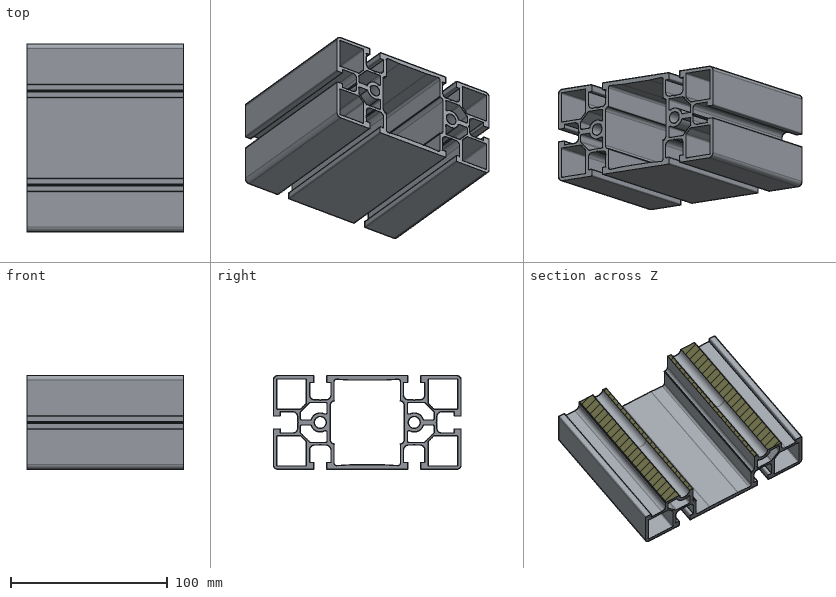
import cadquery as cq
import math

length = 100.0
width = 120.0
height = 60.0
cell_half = height / 2
cell_offset = width / 2 - cell_half
outer_radius = 3.0
small_radius = 0.5

slot_half_opening = 4.1
slot_half_chamber = 6.7
lip_depth = 4.5
slot_depth = 15.5
slot_radius = 3.0
lip_radius = 0.5
groove_half_width = 0.7
groove_depth = 0.4

outer_wall = 2.3
slot_side_wall = 2.3
slot_floor_web = 1.8
bevel_sum = 21.1
chamber_radius = 0.6
bevel_radius = 1.0

bore_radius = 3.7
collar_radius = 6.1
pocket_far = 12.7
pocket_near = 4.2
pocket_bevel_sum = 19.3
spoke_half = 1.7
shelf_height = 5.4
pocket_radius = 0.7

core_wall = 2.3
cavity_step_height = 13.7
cavity_step_radius = 2.5
cavity_corner_radius = 1.5
upper_cavity_wall = 2.2
cavity_edge_height = 27.6
cavity_middle_height = 27.0
cavity_flat_half = 10.8


def point_toward(start, end, distance):
    """Point at the given distance from start on the way to end."""
    share = distance / math.dist(start, end)
    return (start[0] + share * (end[0] - start[0]), start[1] + share * (end[1] - start[1]))


def prism(corners):
    """Extrude a closed outline along X; each corner is (y, z, rounding radius)."""
    arcs = []
    for index, (y, z, radius) in enumerate(corners):
        corner = (y, z)
        if radius == 0:
            arcs.append((corner, corner, corner))
            continue
        before = corners[index - 1][:2]
        after = corners[(index + 1) % len(corners)][:2]
        toward_before = point_toward(corner, before, 1.2)
        toward_after = point_toward(corner, after, 1.2)
        half_angle = math.asin(math.dist(toward_before, toward_after) / 2.4)
        setback = radius / math.tan(half_angle)
        bisector = ((toward_before[0] + toward_after[0]) / 2, (toward_before[1] + toward_after[1]) / 2)
        middle = point_toward(corner, bisector, radius / math.sin(half_angle) - radius)
        arcs.append((point_toward(corner, before, setback), middle, point_toward(corner, after, setback)))

    outline = cq.Workplane("YZ").moveTo(*arcs[0][2])
    for start, middle, end in arcs[1:] + arcs[:1]:
        outline = outline.lineTo(*start)
        if start != end:
            outline = outline.threePointArc(middle, end)
    return outline.close().extrude(length / 2, both=True)


def cylinder(radius):
    return cq.Workplane("YZ").circle(radius).extrude(length / 2, both=True)


def make_slot():
    """T-slot cutter opening toward +Z, in cell coordinates."""
    surface = cell_half
    lip_bottom = surface - lip_depth
    floor = surface - slot_depth
    clearance = 1.2
    right_half = [
        (groove_half_width, floor, 0),
        (slot_half_chamber, floor, slot_radius),
        (slot_half_chamber, lip_bottom, 0),
        (slot_half_opening, lip_bottom, lip_radius),
        (slot_half_opening, surface, lip_radius),
        (slot_half_chamber, surface, 0),
        (slot_half_chamber, surface + clearance, 0),
    ]
    left_half = [(-y, z, radius) for y, z, radius in reversed(right_half)]
    groove_bottom = (0, floor - groove_depth, 0)
    return prism([groove_bottom] + right_half + left_half)


def make_corner_chamber():
    """Corner chamber cutter, in cell coordinates."""
    outside = cell_half - outer_wall
    inner_y = slot_half_chamber + slot_side_wall
    inner_z = slot_half_chamber + slot_floor_web
    return prism([
        (outside, outside, small_radius),
        (inner_y, outside, small_radius),
        (inner_y, bevel_sum - inner_y, bevel_radius),
        (bevel_sum - inner_z, inner_z, bevel_radius),
        (outside, inner_z, chamber_radius),
    ])


def make_core_pocket():
    """Pocket cutter between the bore collar, spoke and bevelled web, in cell coordinates."""
    bevel_end = pocket_bevel_sum - pocket_far
    pocket = prism([
        (0, spoke_half, 0),
        (pocket_far, spoke_half, pocket_radius),
        (pocket_far, bevel_end, pocket_radius),
        (bevel_end, pocket_far, pocket_radius),
        (-pocket_near, pocket_far, pocket_radius),
        (-pocket_near, shelf_height, small_radius),
        (0, shelf_height, 0),
    ])
    return pocket.cut(cylinder(collar_radius))


def make_cavity_quarter():
    """Quarter of the central cavity, with a ceiling that thickens toward the middle."""
    lower_half_width = cell_offset - pocket_near - core_wall
    upper_half_width = cell_offset - slot_half_chamber - upper_cavity_wall
    return prism([
        (0, 0, 0),
        (lower_half_width, 0, 0),
        (lower_half_width, cavity_step_height, cavity_step_radius),
        (upper_half_width, cavity_step_height, small_radius),
        (upper_half_width, cavity_edge_height, cavity_corner_radius),
        (cavity_flat_half, cavity_middle_height, 0),
        (0, cavity_middle_height, 0),
    ])


slot = make_slot()
side_slot = slot.rotate((0, 0, 0), (1, 0, 0), -90)
cell_cutters = [slot, slot.mirror("XY"), side_slot, cylinder(bore_radius)]
for cutter in (make_corner_chamber(), make_core_pocket()):
    cell_cutters += [cutter, cutter.mirror("XY")]

body = cq.Workplane("XY").box(length, width, height).edges("|X").fillet(outer_radius)
for cutter in cell_cutters:
    placed = cutter.translate((0, cell_offset, 0))
    body = body.cut(placed).cut(placed.mirror("XZ"))

cavity_half = make_cavity_quarter()
cavity_half = cavity_half.union(cavity_half.mirror("XY"))
cavity = cavity_half.union(cavity_half.mirror("XZ"))

result = body.cut(cavity)